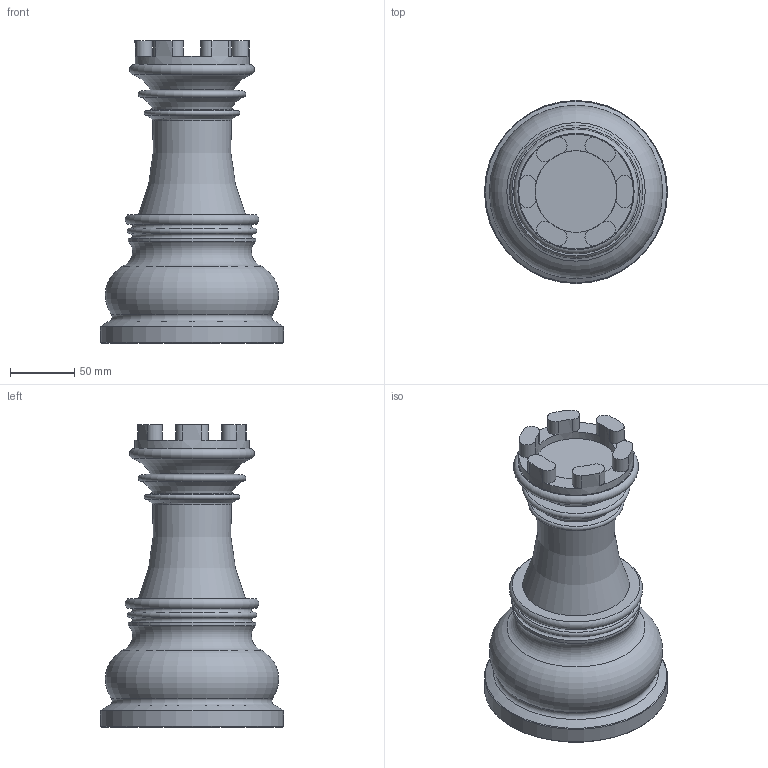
import cadquery as cq
import math


base_radius = 142.24 / 2
base_height = 12.7
base_edge = 0.6

shoulder_middle_radius = 67.4
shoulder_middle_z = 15.4
shoulder_top_radius = 64.2
shoulder_top_z = 17.2
cove_waist_radius = 61.9
cove_waist_z = 20.2

belly_bottom_radius = 62.5
belly_bottom_z = 22.4
belly_radius = 67.3
belly_z = 35.5
belly_top_radius = 53.8
belly_top_z = 59.8

neck_radius = 46.2
neck_z = 71.5

groove_radius = 46.2
lip_radius = 49.4
lip_bottom_z = 79.0
lip_top_z = 81.6
lower_groove_z = 83.7
middle_bead_radius = 50.4
middle_bead_bottom_z = 85.0
middle_bead_top_z = 89.4
upper_groove_z = 91.1
top_bead_radius = 51.8
top_bead_bottom_z = 92.4
top_bead_z = 96.1
top_bead_top_z = 99.8
bead_end_radius = 49.8

column_foot_radius = 41.5
column_waist_radius = 29.8
column_waist_z = 157.5
column_top_z = 173.0

collar_neck_radius = 30.9
small_rim_radius = 37.2
small_rim_bottom_z = 177.0
small_rim_top_z = 180.8
small_flare_start_z = 174.2
middle_flare_start_z = 181.5
middle_rim_radius = 41.8
middle_rim_bottom_z = 191.0
middle_rim_top_z = 195.9
large_flare_start_radius = 32.2
large_flare_start_z = 196.8
large_rim_radius = 48.5
large_rim_bottom_radius = 46.6
large_rim_bottom_z = 209.0
large_rim_z = 212.5
large_rim_top_radius = 45.2

crown_radius = 88.9 / 2
pocket_radius = 63.5 / 2
total_height = 234.95
merlon_height = 12.0
pocket_depth = 6.35
merlon_count = 6
merlon_spacing = 360 / merlon_count
crown_top_z = total_height - merlon_height
crown_bottom_z = crown_top_z - pocket_depth
merlon_width = crown_radius - pocket_radius
merlon_path_radius = (crown_radius + pocket_radius) / 2
merlon_length = 2 * merlon_width
gap_overshoot = merlon_width

flare_hollow = 1.7
rim_setback = 1.4
middle_rim_setback = 2.0


def arc_radius_at(z, waist_radius, waist_z, end_radius, end_z):
    """Radius at height z on an arc that is vertical at its waist and passes through the end point."""
    reach = end_radius - waist_radius
    rise = end_z - waist_z
    arc_radius = (reach**2 + rise**2) / (2 * reach)
    return waist_radius + arc_radius - math.sqrt(arc_radius**2 - (z - waist_z) ** 2)


def flare(profile, start, end):
    """Line to the start point, then a concave arc rising outward to the end point."""
    length = math.dist(start, end)
    run, rise = end[0] - start[0], end[1] - start[1]
    middle = (
        (start[0] + end[0]) / 2 - flare_hollow * rise / length,
        (start[1] + end[1]) / 2 + flare_hollow * run / length,
    )
    return profile.lineTo(*start).threePointArc(middle, end)


def rim(profile, radius, setback, bottom_z, top_z):
    """Rounded rim bulging out to the given radius, from its lower corner to its upper one."""
    return profile.threePointArc((radius, (bottom_z + top_z) / 2), (radius - setback, top_z))


def add_base(profile):
    profile = profile.lineTo(base_radius - base_edge, 0).lineTo(base_radius, base_edge)
    profile = profile.lineTo(base_radius, base_height)
    profile = profile.lineTo(base_radius - base_edge, base_height + base_edge)
    profile = profile.threePointArc(
        (shoulder_middle_radius, shoulder_middle_z), (shoulder_top_radius, shoulder_top_z)
    )
    profile = profile.threePointArc((cove_waist_radius, cove_waist_z), (belly_bottom_radius, belly_bottom_z))
    profile = profile.threePointArc((belly_radius, belly_z), (belly_top_radius, belly_top_z))
    return profile.threePointArc((neck_radius, neck_z), (lip_radius, lip_bottom_z))


def add_lower_beads(profile):
    profile = profile.lineTo(lip_radius, lip_top_z)
    profile = profile.threePointArc(
        (groove_radius, lower_groove_z), (middle_bead_radius - rim_setback, middle_bead_bottom_z)
    )
    profile = rim(profile, middle_bead_radius, rim_setback, middle_bead_bottom_z, middle_bead_top_z)
    profile = profile.threePointArc((groove_radius, upper_groove_z), (bead_end_radius, top_bead_bottom_z))
    return profile.threePointArc((top_bead_radius, top_bead_z), (bead_end_radius, top_bead_top_z))


def add_column(profile):
    column_top_radius = arc_radius_at(
        column_top_z, column_waist_radius, column_waist_z, column_foot_radius, top_bead_top_z
    )
    profile = profile.lineTo(column_foot_radius, top_bead_top_z)
    return profile.threePointArc((column_waist_radius, column_waist_z), (column_top_radius, column_top_z))


def add_collars(profile):
    small_end = (small_rim_radius - rim_setback, small_rim_bottom_z)
    profile = profile.lineTo(collar_neck_radius, small_flare_start_z).lineTo(*small_end)
    profile = rim(profile, small_rim_radius, rim_setback, small_rim_bottom_z, small_rim_top_z)
    middle_end = (middle_rim_radius - middle_rim_setback, middle_rim_bottom_z)
    profile = flare(profile, (collar_neck_radius, middle_flare_start_z), middle_end)
    profile = rim(profile, middle_rim_radius, middle_rim_setback, middle_rim_bottom_z, middle_rim_top_z)
    large_start = (large_flare_start_radius, large_flare_start_z)
    profile = flare(profile, large_start, (large_rim_bottom_radius, large_rim_bottom_z))
    return profile.threePointArc((large_rim_radius, large_rim_z), (large_rim_top_radius, crown_bottom_z))


def add_crown(profile):
    profile = profile.lineTo(crown_radius, crown_bottom_z)
    profile = profile.lineTo(crown_radius, total_height).lineTo(pocket_radius, total_height)
    return profile.lineTo(pocket_radius, crown_bottom_z).lineTo(0, crown_bottom_z)


def make_body():
    profile = cq.Workplane("XZ").moveTo(0, 0)
    for add_section in (add_base, add_lower_beads, add_column, add_collars, add_crown):
        profile = add_section(profile)
    return profile.close().revolve(360, (0, 0, 0), (0, 1, 0))


def polar_point(radius, angle):
    return (radius * math.cos(angle), radius * math.sin(angle))


def make_gap():
    """Cutter for the gap between two merlons, with the rounded merlon ends left standing."""
    start_angle = math.asin((merlon_length - merlon_width) / 2 / merlon_path_radius)
    end_angle = math.radians(merlon_spacing) - start_angle
    inner_reach = pocket_radius - gap_overshoot
    outer_reach = crown_radius + gap_overshoot
    crown_top = cq.Workplane("XY").workplane(offset=crown_top_z)
    corners = [
        polar_point(inner_reach, start_angle),
        polar_point(outer_reach, start_angle),
        polar_point(outer_reach, end_angle),
        polar_point(inner_reach, end_angle),
    ]
    merlon_ends = (
        crown_top.pushPoints([polar_point(merlon_path_radius, angle) for angle in (start_angle, end_angle)])
        .circle(merlon_width / 2)
        .extrude(merlon_height)
    )
    return crown_top.polyline(corners).close().extrude(merlon_height).cut(merlon_ends)


result = make_body()
gap = make_gap()
for index in range(merlon_count):
    result = result.cut(gap.rotate((0, 0, 0), (0, 0, 1), index * merlon_spacing))